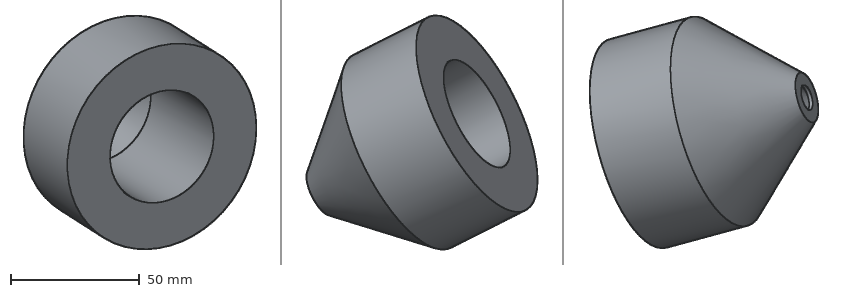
import cadquery as cq
import math

outer_diameter = 84.0
tip_diameter = 20.0
bore_diameter = 10.0
cavity_diameter = 46.0
total_length = 73.25
skirt_length = 35.1
bore_length = 1.5

outer_radius = outer_diameter / 2
tip_radius = tip_diameter / 2
bore_radius = bore_diameter / 2
cavity_radius = cavity_diameter / 2

tip_x = -total_length / 2
back_x = total_length / 2
shoulder_x = back_x - skirt_length
bore_end_x = tip_x + bore_length

cone_angle = math.atan2(outer_radius - tip_radius, shoulder_x - tip_x)
inner_cone_length = (cavity_radius - bore_radius) / math.tan(cone_angle)
inner_cone_end_x = bore_end_x + inner_cone_length

wall_section = (
    cq.Workplane("XY")
    .moveTo(tip_x, bore_radius)
    .lineTo(tip_x, tip_radius)
    .lineTo(shoulder_x, outer_radius)
    .lineTo(back_x, outer_radius)
    .lineTo(back_x, cavity_radius)
    .lineTo(inner_cone_end_x, cavity_radius)
    .lineTo(bore_end_x, bore_radius)
    .close()
)

result = wall_section.revolve(360, (0, 0, 0), (1, 0, 0))